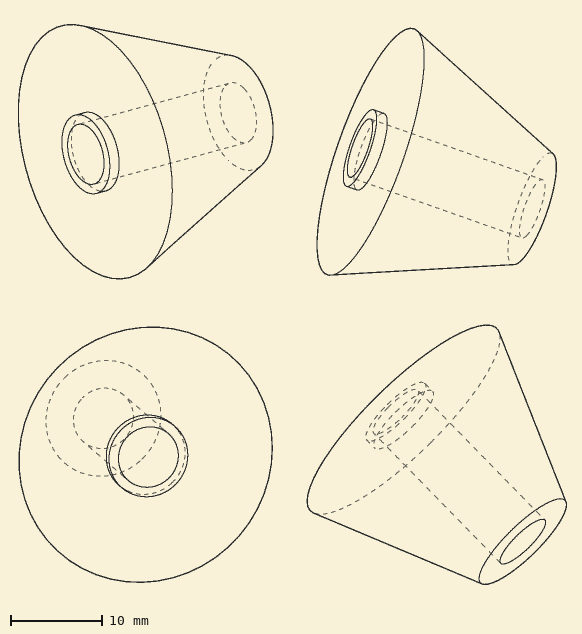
import cadquery as cq

base_diameter = 28.575
tip_diameter = 12.95
cone_length = 19.4

collar_diameter = 8.89
collar_height = 1.27

bore_diameter = 6.76


def make_spacer():
    """Revolve the half section: distance from the axis along X, length along Y."""
    bore_radius = bore_diameter / 2
    collar_radius = collar_diameter / 2
    half_section = (
        cq.Workplane("XY")
        .moveTo(bore_radius, -collar_height)
        .lineTo(collar_radius, -collar_height)
        .lineTo(collar_radius, 0)
        .lineTo(base_diameter / 2, 0)
        .lineTo(tip_diameter / 2, cone_length)
        .lineTo(bore_radius, cone_length)
        .close()
    )
    return half_section.revolve(360, (0, 0, 0), (0, 1, 0))


result = make_spacer()